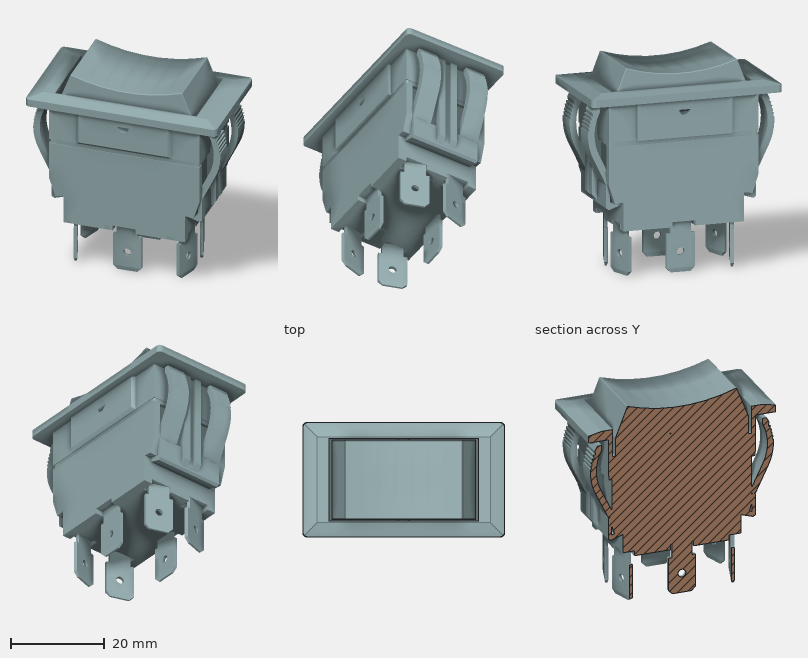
import cadquery as cq
import math


flange_length = 43.2
flange_width = 24.5
flange_edge_z = 1.7
flange_top_z = 2.35
flange_corner_radius = 1.0
bevel_inset = 3.1
well_length = 32.0
well_width = 17.6
well_floor_z = -4.0

rocker_half_base = 15.35
rocker_half_top = 12.6
rocker_base_z = 0.2
rocker_tip_z = 7.25
rocker_dip_z = 5.15
rocker_width = 16.9
rocker_edge_fillet = 0.2

body_half_length = 17.0
body_width = 19.6
foot_half_length = 13.7
body_bottom_z = -28.35
cheek_slope_top_z = -18.0
cheek_tip_x = 15.6
cheek_tip_z = -22.25
cheek_root_z = -21.95

groove_top_z = -8.5
groove_bottom_z = -9.5
groove_depth = 0.15
groove_corner_chamfer = 0.27

panel_length = 21.5
panel_height = 0.7
panel_chamfer = 0.69
pin_diameter = 2.5
pin_z = -2.4
pin_ramp_drop = 0.75
pin_ramp_depth = 1.4
pin_recess = 0.05

rib_half_length = 18.13
rib_width = 4.5
rib_chamfer_z = -21.6
rib_bottom_z = -22.85
rib_groove_width = 1.45
rib_groove_floor_x = 17.2

clip_width = 4.44
clip_span = 16.2
clip_thickness = 1.5
clip_apex_x = 21.15
clip_apex_z = -7.0
clip_outer_radius = 12.0
clip_line_angle = 26.0
clip_tip_z = -0.95
clip_tip_inner_x = 18.5
clip_tip_outer_x = 19.5
tooth_count = 5
tooth_pitch = 0.82
tooth_top_z = -2.13
tooth_undercut = 0.17
plate_thickness = 0.87
plate_top_z = -18.3
clip_slot_clearance = 0.14
clip_heel_z = -23.4
clip_sole_z = -23.8
clip_heel_x = 16.4
clip_toe_z = -22.9
clip_inner_corner_z = -22.45

blade_width = 6.4
blade_thickness = 0.8
blade_top_z = -30.2
blade_bottom_z = -38.8
tip_height = 1.0
tip_width = 4.4
tip_thickness = 0.45
neck_width = 4.75
neck_slot_width = 5.2
neck_slot_top_z = -27.2
side_slot_y = 5.16
side_slot_depth = 2.75
neck_root_z = -26.5
blade_hole_diameter = 1.7
blade_hole_z = -34.25
side_terminal_x = 12.55
side_terminal_y = 4.98
side_terminal_angle = 107.5
center_terminal_y = 7.45

pad_diameter = 3.5
pad_height = 0.15
pad_x = 9.6


def block(length, width, bottom_z, top_z):
    """Box centred on the Z axis between two heights."""
    return cq.Workplane("XY").workplane(offset=bottom_z).rect(length, width).extrude(top_z - bottom_z)


def with_x_mirror(shape):
    return shape.union(shape.mirror("YZ"))


def with_y_mirror(shape):
    return shape.union(shape.mirror("XZ"))


def extrude_xz(profile, width):
    """Extrude an XZ profile symmetrically about Y = 0."""
    return profile.extrude(width / 2, both=True)


def make_bezel():
    edge = block(flange_length, flange_width, 0, flange_edge_z)
    bevel = (
        cq.Workplane("XY")
        .workplane(offset=flange_edge_z)
        .rect(flange_length, flange_width)
        .workplane(offset=flange_top_z - flange_edge_z)
        .rect(flange_length - 2 * bevel_inset, flange_width - 2 * bevel_inset)
        .loft(combine=True)
    )
    rounded = block(flange_length, flange_width, 0, flange_top_z).edges("|Z").fillet(flange_corner_radius)
    return edge.union(bevel).intersect(rounded)


def make_rocker():
    outline = (
        cq.Workplane("XZ")
        .moveTo(-rocker_half_base, well_floor_z)
        .lineTo(rocker_half_base, well_floor_z)
        .lineTo(rocker_half_base, rocker_base_z)
        .lineTo(rocker_half_top, rocker_tip_z)
        .threePointArc((0, rocker_dip_z), (-rocker_half_top, rocker_tip_z))
        .lineTo(-rocker_half_base, rocker_base_z)
        .close()
    )
    rocker = extrude_xz(outline, rocker_width)
    above_bezel = cq.selectors.BoxSelector(
        (-flange_length, -flange_width, flange_top_z),
        (flange_length, flange_width, rocker_tip_z + rocker_edge_fillet),
    )
    return rocker.edges(above_bezel).fillet(rocker_edge_fillet)


def make_body():
    half_outline = (
        cq.Workplane("XZ")
        .moveTo(0, 0)
        .lineTo(body_half_length, 0)
        .lineTo(body_half_length, cheek_slope_top_z)
        .lineTo(cheek_tip_x, cheek_tip_z)
        .lineTo(foot_half_length, cheek_root_z)
        .lineTo(foot_half_length, body_bottom_z)
        .lineTo(0, body_bottom_z)
        .close()
    )
    body = with_x_mirror(extrude_xz(half_outline, body_width))
    core_length = 2 * (body_half_length - groove_depth)
    core_width = body_width - 2 * groove_depth
    groove_core = block(core_length, core_width, groove_bottom_z, groove_top_z)
    groove_core = groove_core.edges("|Z").chamfer(groove_corner_chamfer)
    groove = block(flange_length, flange_width, groove_bottom_z, groove_top_z).cut(groove_core)
    slot_floor_x = body_half_length - plate_thickness
    clip_slot = block(
        plate_thickness, clip_span + 2 * clip_slot_clearance, cheek_tip_z, groove_bottom_z
    ).translate((slot_floor_x + plate_thickness / 2, 0, 0))
    return body.cut(groove).cut(with_x_mirror(clip_slot))


def make_panels():
    """Raised panels: the -Y one has sloped sides and a sloped bottom, the +Y one is square."""
    panel = block(panel_length, panel_height, groove_top_z, 0)
    panel_y = (body_width + panel_height) / 2
    front = panel.edges("<Y and (|Z or <Z)").chamfer(panel_chamfer)
    return front.translate((0, -panel_y, 0)).union(panel.translate((0, panel_y, 0)))


def make_pin_ramps():
    """Cutters that slope off the lower half of each pivot pin end."""
    outer_y = body_width / 2 + panel_height
    inner_y = outer_y - pin_ramp_depth
    radius = pin_diameter / 2
    wedge = (
        cq.Workplane("YZ")
        .polyline([
            (-outer_y, pin_z),
            (-inner_y, pin_z - pin_ramp_drop),
            (-inner_y, pin_z - radius),
            (-outer_y, pin_z - radius),
        ])
        .close()
        .extrude(radius, both=True)
    )
    return with_y_mirror(wedge.intersect(make_pin(2 * outer_y)))


def make_pin(length):
    return extrude_xz(cq.Workplane("XZ").center(0, pin_z).circle(pin_diameter / 2), length)


def make_ribs():
    outline = (
        cq.Workplane("XZ")
        .moveTo(foot_half_length, 0)
        .lineTo(rib_half_length, 0)
        .lineTo(rib_half_length, rib_chamfer_z)
        .lineTo(body_half_length, rib_bottom_z)
        .lineTo(body_half_length - plate_thickness, rib_bottom_z)
        .lineTo(body_half_length - plate_thickness, cheek_slope_top_z)
        .lineTo(foot_half_length, cheek_slope_top_z)
        .close()
    )
    depth = rib_half_length - rib_groove_floor_x
    groove = block(depth, rib_groove_width, rib_bottom_z, 0)
    groove = groove.translate((rib_groove_floor_x + depth / 2, 0, 0))
    return with_x_mirror(extrude_xz(outline, rib_width).cut(groove))


def make_clip_arms():
    """Curved spring arms of constant thickness, toothed near the top of the outer side."""
    center_x = clip_apex_x - clip_outer_radius
    inner_radius = clip_outer_radius - clip_thickness
    slope = math.radians(clip_line_angle)
    root_x = body_half_length - plate_thickness

    def arc_point(radius, angle):
        return (center_x + radius * math.cos(angle), clip_apex_z + radius * math.sin(angle))

    def angle_at(radius, z):
        return math.asin((z - clip_apex_z) / radius)

    def straight_z(radius, x):
        start_x, start_z = arc_point(radius, -slope)
        return start_z - (start_x - x) / math.tan(slope)

    outline = cq.Workplane("XZ").moveTo(clip_tip_inner_x, clip_tip_z).lineTo(clip_tip_outer_x, clip_tip_z)
    for tooth in range(tooth_count):
        top_z = tooth_top_z - tooth * tooth_pitch
        bottom_z = top_z - tooth_pitch
        crest_x = arc_point(clip_outer_radius, angle_at(clip_outer_radius, top_z))[0]
        outline = outline.lineTo(crest_x, top_z).lineTo(crest_x - tooth_undercut, bottom_z)
    outer_start = angle_at(clip_outer_radius, tooth_top_z - tooth_count * tooth_pitch)
    outer_root_z = straight_z(clip_outer_radius, body_half_length)
    inner_start = angle_at(inner_radius, tooth_top_z)
    outline = (
        outline.lineTo(*arc_point(clip_outer_radius, outer_start))
        .threePointArc(
            arc_point(clip_outer_radius, (outer_start - slope) / 2), arc_point(clip_outer_radius, -slope)
        )
        .lineTo(body_half_length, outer_root_z)
        .lineTo(root_x, outer_root_z)
        .lineTo(root_x, straight_z(inner_radius, root_x))
        .lineTo(*arc_point(inner_radius, -slope))
        .threePointArc(
            arc_point(inner_radius, (inner_start - slope) / 2), arc_point(inner_radius, inner_start)
        )
        .close()
    )
    arm = extrude_xz(outline, clip_width).translate((0, (clip_span - clip_width) / 2, 0))
    return with_x_mirror(with_y_mirror(arm))


def make_clip_plates():
    """Plates that join each pair of arms and hook under the body."""
    inner_x = body_half_length - plate_thickness
    outline = (
        cq.Workplane("XZ")
        .moveTo(inner_x, plate_top_z)
        .lineTo(body_half_length, plate_top_z)
        .lineTo(body_half_length, clip_heel_z)
        .lineTo(clip_heel_x, clip_sole_z)
        .lineTo(foot_half_length, clip_toe_z)
        .lineTo(foot_half_length, cheek_root_z)
        .lineTo(cheek_tip_x, cheek_tip_z)
        .lineTo(inner_x, clip_inner_corner_z)
        .close()
    )
    return with_x_mirror(extrude_xz(outline, clip_span))


def make_terminal():
    """Blade terminal across X, centred on the Z axis, with a tapered tip."""
    neck = block(neck_width, blade_thickness, blade_top_z, neck_root_z)
    tip_top_z = blade_bottom_z + tip_height
    blade = block(blade_width, blade_thickness, tip_top_z, blade_top_z)
    tip = (
        cq.Workplane("XY")
        .workplane(offset=blade_bottom_z)
        .rect(tip_width, tip_thickness)
        .workplane(offset=tip_height)
        .rect(blade_width, blade_thickness)
        .loft(combine=True)
    )
    hole = extrude_xz(
        cq.Workplane("XZ").center(0, blade_hole_z).circle(blade_hole_diameter / 2), 2 * blade_thickness
    )
    return neck.union(blade).union(tip).cut(hole)


def make_center_terminals():
    return with_y_mirror(make_terminal().translate((0, -center_terminal_y, 0)))


def make_side_terminals():
    terminal = make_terminal().rotate((0, 0, 0), (0, 0, 1), side_terminal_angle)
    return with_x_mirror(with_y_mirror(terminal.translate((side_terminal_x, side_terminal_y, 0))))


def make_terminal_slots():
    """Notches in the bottom edges of the body where the terminal necks leave it."""
    center_depth = body_width / 2 - center_terminal_y
    center = block(neck_slot_width, center_depth, body_bottom_z, neck_slot_top_z)
    center = center.translate((0, -(body_width - center_depth) / 2, 0))
    side = block(side_slot_depth, neck_slot_width, body_bottom_z, neck_slot_top_z)
    side = side.translate((foot_half_length - side_slot_depth / 2, side_slot_y, 0))
    return with_y_mirror(center).union(with_x_mirror(with_y_mirror(side)))


def make_pads():
    pad = cq.Workplane("XY").workplane(offset=body_bottom_z).circle(pad_diameter / 2).extrude(-pad_height)
    return with_x_mirror(pad.translate((pad_x, 0, 0)))


housing = make_body().union(make_bezel()).union(make_panels()).union(make_ribs())
housing = housing.cut(block(well_length, well_width, well_floor_z, flange_top_z))
housing = housing.cut(make_terminal_slots())
panel_span = body_width + 2 * panel_height
rocker = make_rocker().union(make_pin(panel_span - 2 * pin_recess)).cut(make_pin_ramps())
switch = housing.cut(make_pin(panel_span)).union(rocker)
switch = switch.union(make_clip_plates()).union(make_clip_arms())
result = switch.union(make_center_terminals()).union(make_side_terminals()).union(make_pads())